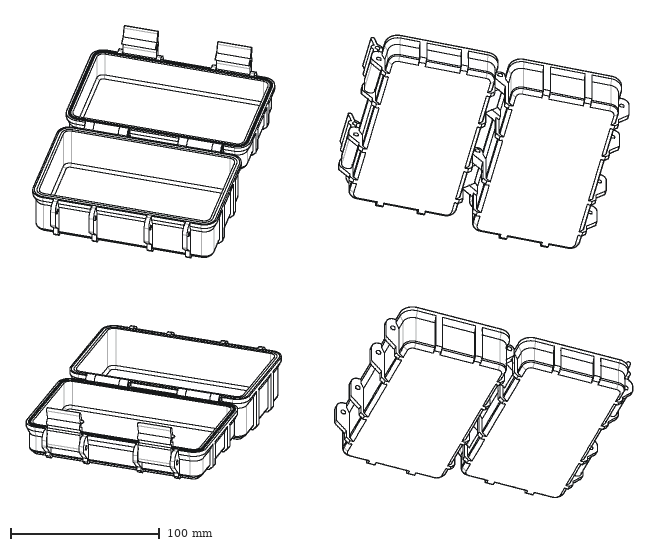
import cadquery as cq
import math

LENGTH = 128.5
DEPTH = 78.5
HINGE_GAP = 3.5
CORNER_RADIUS = 9.0
BASE_HEIGHT = 32.5
LID_HEIGHT = 22.7
RIM_Z = BASE_HEIGHT
BASE_SIDE = -1
LID_SIDE = 1

RIM_HEIGHT = 3.0
RIM_TAPER = 4.6
WALL_INSET = 2.1
FOOT_TAPER = 1.0
FOOT_TAPER_INSET = 0.45
FOOT_CHAMFER = 2.7
CAVITY_INSET = 4.5
FLOOR_CHAMFER = 2.0
FLOOR_THICKNESS = 2.7

GASKET_OUTER_INSET = 1.0
GASKET_WIDTH = 1.8
GASKET_DEPTH = 1.0
TONGUE_OUTER_INSET = 1.5
TONGUE_WIDTH = 1.6
TONGUE_HEIGHT = 0.5

EAR_THICKNESS = 3.2
END_RIB_WIDTH = 4.8
END_RIB_SPACING = 28.7

STATION_X = 32.7
STATION_WIDTH = 30.0
KNUCKLE_RADIUS = 3.4
HINGE_HOLE = 3.4
LID_KNUCKLE_WIDTH = 17.5
BASE_KNUCKLE_WIDTH = (STATION_WIDTH - LID_KNUCKLE_WIDTH) / 2
STRAP_DROP = 5.0

EAR_REACH = 7.1
EAR_RADIUS = 5.4
EAR_BEND_RADIUS = 1.8
BASE_EAR_HEIGHT = 17.3
LID_EAR_HEIGHT = 10.2
PIVOT_REACH = 2.1
PIVOT_DROP = 8.2
PIVOT_HOLE = 3.2

LATCH_WIDTH = STATION_WIDTH - 2 * EAR_THICKNESS
BARREL_RADIUS = 3.5
ARM_THICKNESS = 2.9
ARM_STEP_HEIGHT = 1.5
ARM_SWELL = 0.4
SOCKET_RADIUS = 1.6
BULGE_REACH = 4.5
BULGE_HALF_HEIGHT = 2.5
HOOK_RISE = 0.7
HOOK_REACH = 4.0
HOOK_HEIGHT = 3.0
HOOK_CROWN = 0.4
HANDLE_TOP_Z = 51.5
HANDLE_THICKNESS = 2.7
HANDLE_TILT = 18.0
HANDLE_REACH = 3.4

HINGE_Z = RIM_Z
PIVOT_Y = HINGE_GAP + DEPTH + PIVOT_REACH
PIVOT_Z = RIM_Z - PIVOT_DROP
SOCKET_Z = RIM_Z + PIVOT_DROP
ARM_STEP_Z = RIM_Z + 3.5
HOOK_TIP_Y = PIVOT_Y - HOOK_REACH
HOOK_ROOT_Z = SOCKET_Z + HOOK_RISE + HOOK_HEIGHT
HANDLE_TIP_Y = PIVOT_Y + HANDLE_REACH
HANDLE_TIP_Z = HANDLE_TOP_Z - HANDLE_THICKNESS / 2
EAR_OFFSET = (STATION_WIDTH - EAR_THICKNESS) / 2
KNUCKLE_OFFSET = (STATION_WIDTH - BASE_KNUCKLE_WIDTH) / 2
STATIONS = (-STATION_X, STATION_X)
EAR_POSITIONS = [x + offset for x in STATIONS for offset in (-EAR_OFFSET, EAR_OFFSET)]


def outline(side, inset, z):
    """Rounded rectangle of a tray at height z, offset inwards from its rim."""
    center_y = side * (HINGE_GAP + DEPTH / 2)
    sketch = (
        cq.Sketch()
        .rect(LENGTH - 2 * inset, DEPTH - 2 * inset)
        .vertices()
        .fillet(CORNER_RADIUS - inset)
    )
    return cq.Workplane("XY", origin=(0, center_y, z)).placeSketch(sketch)


def prism(side, inset, z_low, z_high):
    return outline(side, inset, z_low).extrude(z_high - z_low)


def frustum(side, low_inset, z_low, high_inset, z_high):
    taper = math.degrees(math.atan2(high_inset - low_inset, z_high - z_low))
    return outline(side, low_inset, z_low).extrude(z_high - z_low, taper=taper)


def plate(points, x, width):
    """Straight-sided YZ profile, extruded along X and centred on x."""
    return cq.Workplane("YZ", origin=(x - width / 2, 0, 0)).polyline(points).close().extrude(width)


def rod(y, z, radius, x, width):
    """Round bar along X, centred on x."""
    return cq.Workplane("YZ", origin=(x - width / 2, 0, 0)).center(y, z).circle(radius).extrude(width)


def shell_blank(side, bottom_z):
    """Outer tray shape without ribs: rim, taper below it, wall and chamfered foot."""
    taper_top = RIM_Z - RIM_HEIGHT
    taper_bottom = taper_top - RIM_TAPER
    chamfer_top = bottom_z + FOOT_CHAMFER
    wall_bottom = chamfer_top + FOOT_TAPER
    foot_inset = WALL_INSET + FOOT_TAPER_INSET
    return (
        prism(side, 0, taper_top, RIM_Z)
        .union(frustum(side, WALL_INSET, taper_bottom, 0, taper_top))
        .union(prism(side, WALL_INSET, wall_bottom, taper_bottom))
        .union(frustum(side, foot_inset, chamfer_top, WALL_INSET, wall_bottom))
        .union(frustum(side, foot_inset + FOOT_CHAMFER, bottom_z, foot_inset, chamfer_top))
    )


def ribs(side, bottom_z):
    """Upright ribs flush with the rim, chamfered at the foot."""
    chamfer_top = bottom_z + FOOT_CHAMFER
    height = RIM_Z - bottom_z
    center_y = side * (HINGE_GAP + DEPTH / 2)
    envelope = prism(side, 0, chamfer_top, RIM_Z).union(
        frustum(side, FOOT_CHAMFER, bottom_z, 0, chamfer_top)
    )
    middle = cq.Workplane("XY", origin=(0, center_y, bottom_z))
    long_bars = middle.pushPoints([(x, 0) for x in EAR_POSITIONS]).rect(EAR_THICKNESS, DEPTH).extrude(height)
    cross_bars = middle.rarray(1.8, END_RIB_SPACING, 1, 2).rect(LENGTH, END_RIB_WIDTH).extrude(height)
    return envelope.intersect(long_bars.union(cross_bars))


def cavity(side, bottom_z):
    floor_z = bottom_z + FLOOR_THICKNESS
    wall_foot = floor_z + FLOOR_CHAMFER
    return frustum(side, CAVITY_INSET + FLOOR_CHAMFER, floor_z, CAVITY_INSET, wall_foot).union(
        prism(side, CAVITY_INSET, wall_foot, RIM_Z)
    )


def latch_ear(side, x, ear_height):
    """Plate beyond the rim with a rounded top corner and a 45 degree underside."""
    outer = HINGE_GAP + DEPTH + EAR_REACH
    inner = HINGE_GAP + DEPTH - WALL_INSET
    slope_top = RIM_Z - ear_height
    slope_bottom = slope_top - EAR_REACH - WALL_INSET
    ear = plate(
        [
            (side * inner, RIM_Z),
            (side * outer, RIM_Z),
            (side * outer, slope_top),
            (side * inner, slope_bottom),
        ],
        x,
        EAR_THICKNESS,
    )
    outer_face = "<Y" if side == BASE_SIDE else ">Y"
    ear = ear.faces(outer_face).edges(">Z").fillet(EAR_RADIUS)
    ear = ear.faces(outer_face).edges("<Z").fillet(EAR_BEND_RADIUS)
    return ear.cut(rod(side * PIVOT_Y, PIVOT_Z, PIVOT_HOLE / 2, x, EAR_THICKNESS))


def hinge_knuckle(side, x, width):
    """Knuckle around the hinge axis with the strap that joins it to the tray on the given side."""
    strap_low = HINGE_Z - STRAP_DROP
    inner = HINGE_GAP + WALL_INSET
    strap = plate(
        [
            (-side * KNUCKLE_RADIUS, HINGE_Z),
            (-side * KNUCKLE_RADIUS, strap_low),
            (side * inner, strap_low - KNUCKLE_RADIUS - inner),
            (side * inner, HINGE_Z),
        ],
        x,
        width,
    )
    return strap.union(rod(0, HINGE_Z, KNUCKLE_RADIUS, x, width))


def hinge_bores():
    bores = cq.Workplane("XY")
    for x in STATIONS:
        bores = bores.add(rod(0, HINGE_Z, HINGE_HOLE / 2, x, STATION_WIDTH))
    return bores.combine()


def make_tray(side, bottom_z, ear_height, knuckle_positions, knuckle_width):
    tray = shell_blank(side, bottom_z).union(ribs(side, bottom_z))
    for x in EAR_POSITIONS:
        tray = tray.union(latch_ear(side, x, ear_height))
    for x in knuckle_positions:
        tray = tray.union(hinge_knuckle(side, x, knuckle_width))
    return tray.cut(cavity(side, bottom_z)).cut(hinge_bores())


def make_gasket():
    """Flat sealing ring, flush with the base rim."""
    low = RIM_Z - GASKET_DEPTH
    inner_inset = GASKET_OUTER_INSET + GASKET_WIDTH
    return prism(BASE_SIDE, GASKET_OUTER_INSET, low, RIM_Z).cut(
        prism(BASE_SIDE, inner_inset, low, RIM_Z)
    )


def make_base(gasket):
    positions = [x + offset for x in STATIONS for offset in (-KNUCKLE_OFFSET, KNUCKLE_OFFSET)]
    base = make_tray(BASE_SIDE, RIM_Z - BASE_HEIGHT, BASE_EAR_HEIGHT, positions, BASE_KNUCKLE_WIDTH)
    return base.cut(gasket)


def sealing_tongue():
    """Ridge with sloping flanks around the lid rim."""
    top = RIM_Z + TONGUE_HEIGHT
    inner_inset = TONGUE_OUTER_INSET + TONGUE_WIDTH
    ridge = frustum(LID_SIDE, TONGUE_OUTER_INSET, RIM_Z, TONGUE_OUTER_INSET + TONGUE_HEIGHT, top)
    return ridge.cut(frustum(LID_SIDE, inner_inset, RIM_Z, inner_inset - TONGUE_HEIGHT, top))


def make_lid():
    lid = make_tray(LID_SIDE, RIM_Z - LID_HEIGHT, LID_EAR_HEIGHT, STATIONS, LID_KNUCKLE_WIDTH)
    return lid.union(sealing_tongue())


def handle_face_y(z, face):
    """Y of the handle at height z on its hook face (-1) or its back face (1)."""
    tilt = math.radians(HANDLE_TILT)
    center_y = HANDLE_TIP_Y - (HANDLE_TIP_Z - z) * math.tan(tilt)
    return center_y + face * HANDLE_THICKNESS / 2 / math.cos(tilt)


def make_latch(x):
    """Arm with snap socket, hook and tilted handle in one outline, plus the pivot barrel."""
    tilt = math.radians(HANDLE_TILT)
    tip_radius = HANDLE_THICKNESS / 2
    tip_side_y = tip_radius * math.cos(tilt)
    tip_side_z = tip_radius * math.sin(tilt)
    arm_back = PIVOT_Y + ARM_THICKNESS
    barrel_back = PIVOT_Y + BARREL_RADIUS
    socket_lip_y = PIVOT_Y - math.sqrt(SOCKET_RADIUS**2 - HOOK_RISE**2)
    hook_z = SOCKET_Z + HOOK_RISE
    hook_root_y = handle_face_y(HOOK_ROOT_Z, -1)
    hook_mid = (
        (hook_root_y + HOOK_TIP_Y) / 2 - HOOK_CROWN,
        (HOOK_ROOT_Z + hook_z) / 2 + HOOK_CROWN,
    )
    handle_root_z = SOCKET_Z + BULGE_HALF_HEIGHT
    body = (
        cq.Workplane("YZ", origin=(x - LATCH_WIDTH / 2, 0, 0))
        .moveTo(PIVOT_Y - ARM_SWELL, PIVOT_Z)
        .lineTo(PIVOT_Y - ARM_SWELL, ARM_STEP_Z)
        .lineTo(PIVOT_Y, SOCKET_Z - SOCKET_RADIUS)
        .threePointArc((PIVOT_Y + SOCKET_RADIUS, SOCKET_Z), (socket_lip_y, hook_z))
        .lineTo(HOOK_TIP_Y, hook_z)
        .threePointArc(hook_mid, (hook_root_y, HOOK_ROOT_Z))
        .lineTo(HANDLE_TIP_Y - tip_side_y, HANDLE_TIP_Z + tip_side_z)
        .threePointArc(
            (HANDLE_TIP_Y + tip_side_z, HANDLE_TIP_Z + tip_side_y),
            (HANDLE_TIP_Y + tip_side_y, HANDLE_TIP_Z - tip_side_z),
        )
        .lineTo(handle_face_y(handle_root_z, 1), handle_root_z)
        .threePointArc(
            (PIVOT_Y + BULGE_REACH, SOCKET_Z),
            (arm_back, SOCKET_Z - BULGE_HALF_HEIGHT),
        )
        .lineTo(arm_back, ARM_STEP_Z)
        .lineTo(barrel_back, ARM_STEP_Z - ARM_STEP_HEIGHT)
        .lineTo(barrel_back, PIVOT_Z)
        .close()
        .extrude(LATCH_WIDTH)
    )
    latch = body.union(rod(PIVOT_Y, PIVOT_Z, BARREL_RADIUS, x, LATCH_WIDTH))
    return latch.cut(rod(PIVOT_Y, PIVOT_Z, PIVOT_HOLE / 2, x, LATCH_WIDTH))


gasket = make_gasket()
base = make_base(gasket)
lid = make_lid()
latches = [make_latch(x) for x in STATIONS]

bodies = [base, lid, gasket, *latches]

result = cq.Compound.makeCompound([body.solids().val() for body in bodies])